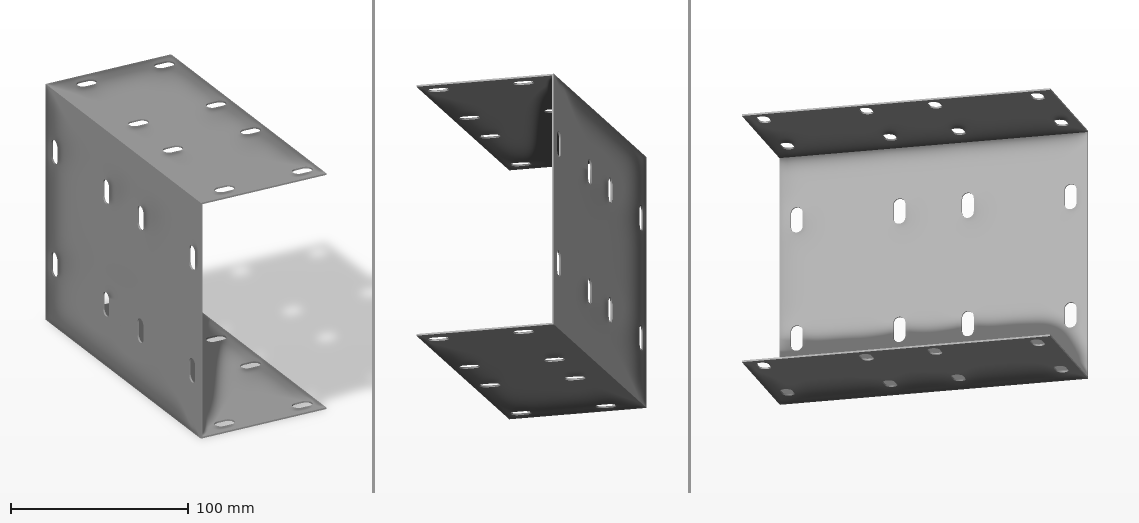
import cadquery as cq

WIDTH = 180.0
DEPTH = 80.8
HEIGHT = 146.7
THICKNESS = 1.0

SLOT_WIDTH = 7.0
WEB_SLOT_LENGTH = 15.0
FLANGE_SLOT_LENGTH = 12.0

INNER_COLUMN_X = 20.0
OUTER_COLUMN_X = 80.0
COLUMNS_X = (-OUTER_COLUMN_X, -INNER_COLUMN_X, INNER_COLUMN_X, OUTER_COLUMN_X)

WEB_ROW_SPACING = 70.0
FLANGE_ROW_SPACING = 50.0
FLANGE_ROW_MARGIN = 9.9


def channel():
    """U-shaped sheet: web on the -Y side, flanges at top and bottom, open towards +Y."""
    block = cq.Workplane("XY").box(WIDTH, DEPTH, HEIGHT)
    return block.faces(">Y or >X or <X").shell(-THICKNESS)


def slot_cutter(plane, length, rows, cut_depth):
    """Grid of slots on the given plane, upright in it and cut equally to both sides."""
    centers = [(x, row) for x in COLUMNS_X for row in rows]
    slots = cq.Workplane(plane).pushPoints(centers).slot2D(length, SLOT_WIDTH, 90)
    return slots.extrude(cut_depth, both=True)


web_rows = (-WEB_ROW_SPACING / 2, WEB_ROW_SPACING / 2)
web_slots = slot_cutter("XZ", WEB_SLOT_LENGTH, web_rows, DEPTH)

back_row = DEPTH / 2 - FLANGE_ROW_MARGIN
flange_rows = (back_row - FLANGE_ROW_SPACING, back_row)
flange_slots = slot_cutter("XY", FLANGE_SLOT_LENGTH, flange_rows, HEIGHT)

result = channel().cut(web_slots).cut(flange_slots)